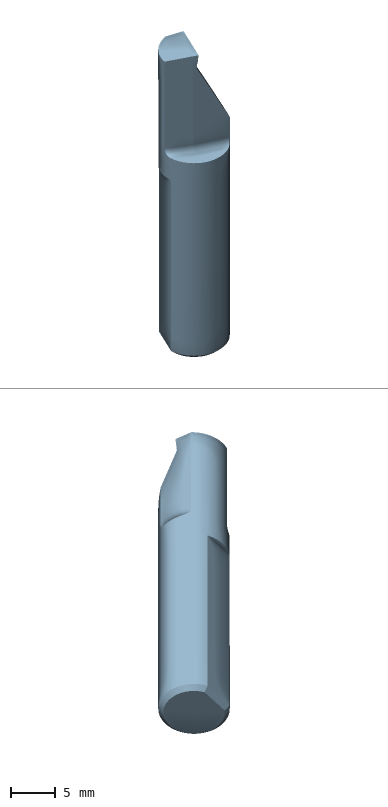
import cadquery as cq
import math

length = 40.0
shank_radius = 4.0
end_chamfer = 0.55
flat_width = 4.0
flat_top = 24.0

shoulder_height = 27.0
shoulder_fillet = 0.8
neck_right = 1.45
neck_left = -3.4

tip_base = 39.1
tip_right = 1.5
tip_left = -3.45
right_clearance_angle = 7.3
left_clearance_angle = 2.3
top_clearance_angle = 4.0

rake_depth = 0.2
gash_top = 38.15
gash_bottom = 30.05

margin = 2.0
reach = shank_radius + margin


def make_shank():
    blank = cq.Workplane("XY").circle(shank_radius).extrude(length)
    blank = blank.faces("<Z").edges().chamfer(end_chamfer)
    flat_y = -math.sqrt(shank_radius**2 - (flat_width / 2) ** 2)
    flat_cut = (
        cq.Workplane("YZ", origin=(-reach, 0, 0))
        .moveTo(-reach, flat_top)
        .lineTo(flat_y, flat_top)
        .lineTo(flat_y, end_chamfer)
        .lineTo(flat_y + end_chamfer, 0)
        .lineTo(-reach, 0)
        .close()
        .extrude(2 * reach)
    )
    return blank.cut(flat_cut)


def side_cut(neck_x, tip_x, clearance_angle, side):
    """Waste beside the neck; side is +1 for +X and -1 for -X."""
    slope = math.tan(math.radians(clearance_angle))
    tip_wall_x = tip_x - side * slope * reach
    bend_y = -abs(tip_x - neck_x) / slope
    outer_x = side * 2 * reach

    lower = (
        cq.Workplane("XY", origin=(0, 0, shoulder_height))
        .moveTo(outer_x, reach)
        .lineTo(neck_x, reach)
        .lineTo(neck_x, bend_y)
        .lineTo(tip_wall_x, -reach)
        .lineTo(outer_x, -reach)
        .close()
        .extrude(tip_base - shoulder_height)
    )
    back_foot = cq.selectors.NearestToPointSelector((neck_x, (bend_y + reach) / 2, shoulder_height))
    front_foot = cq.selectors.NearestToPointSelector(
        ((neck_x + tip_wall_x) / 2, (bend_y - reach) / 2, shoulder_height)
    )
    lower = lower.edges(back_foot + front_foot).fillet(shoulder_fillet)

    upper = (
        cq.Workplane("XY", origin=(0, 0, tip_base))
        .moveTo(outer_x, reach)
        .lineTo(tip_x + side * slope * reach, reach)
        .lineTo(tip_wall_x, -reach)
        .lineTo(outer_x, -reach)
        .close()
        .extrude(length - tip_base + margin)
    )
    return lower.union(upper)


def left_tip_relief():
    """Sloping step that blends the -X neck wall into the tip corner."""
    return (
        cq.Workplane("XZ", origin=(0, reach, 0))
        .moveTo(neck_left, tip_base)
        .lineTo(tip_left, length)
        .lineTo(-reach, length)
        .lineTo(-reach, tip_base)
        .close()
        .extrude(2 * reach)
    )


def gash_cut():
    return (
        cq.Workplane("YZ", origin=(-reach, 0, 0))
        .moveTo(0, length)
        .lineTo(-rake_depth, gash_top)
        .lineTo(shank_radius, gash_bottom)
        .lineTo(reach, gash_bottom)
        .lineTo(reach, length)
        .close()
        .extrude(2 * reach)
    )


def top_clearance_cut():
    drop = reach * math.tan(math.radians(top_clearance_angle))
    return (
        cq.Workplane("YZ", origin=(-reach, 0, 0))
        .moveTo(0, length)
        .lineTo(-reach, length - drop)
        .lineTo(-reach, length)
        .close()
        .extrude(2 * reach)
    )


result = (
    make_shank()
    .cut(side_cut(neck_right, tip_right, right_clearance_angle, 1))
    .cut(side_cut(neck_left, tip_left, left_clearance_angle, -1))
    .cut(left_tip_relief())
    .cut(gash_cut())
    .cut(top_clearance_cut())
)